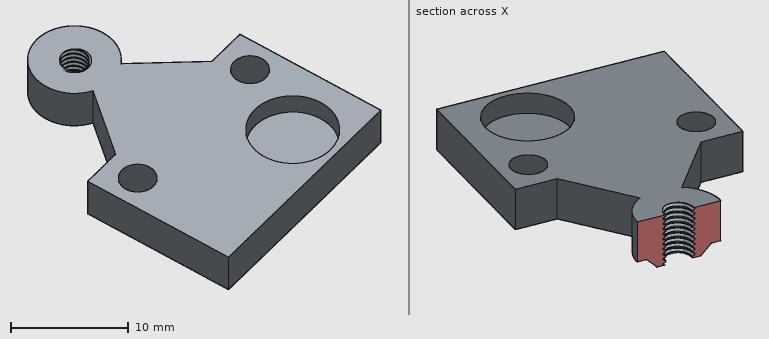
import cadquery as cq
import math

plate_thickness = 4.0
plate_length = 15.0
plate_width = 21.7
pivot_diameter = 8.0
overall_length = 28.5
plate_right = overall_length - pivot_diameter / 2
plate_left = plate_right - plate_length

arm_root_width = 13.7
arm_tip_width = 4.0
arm_tip_x = math.sqrt((pivot_diameter / 2) ** 2 - (arm_tip_width / 2) ** 2)

seat_height = 1.0
seat_top_diameter = 6.2
seat_bottom_diameter = 4.2
part_height = plate_thickness + seat_height

screw_hole_diameter = 3.3
screw_hole_spacing = 16.0
screw_hole_inset = 3.2
screw_hole_x = plate_left + screw_hole_inset

pocket_diameter = 8.0
pocket_depth = 2.0
pocket_inset = 4.65
pocket_x = plate_right - pocket_inset
pocket_y = 4.5

thread_minor_diameter = 2.52
thread_major_diameter = 3.0
thread_pitch = 0.5
thread_root_flat = thread_pitch / 8
thread_mouth_width = thread_pitch * 0.85
thread_overlap = 0.05
thread_runout_turns = 2


def make_plate():
    """Rectangular plate with its top face at Z = 0."""
    return (
        cq.Workplane("XY")
        .center((plate_left + plate_right) / 2, 0)
        .rect(plate_length, plate_width)
        .extrude(-plate_thickness)
    )


def make_arm():
    """Tapered arm running from the pivot axis to the plate."""
    outline = [
        (0, -arm_tip_width / 2),
        (arm_tip_x, -arm_tip_width / 2),
        (plate_left, -arm_root_width / 2),
        (plate_left, arm_root_width / 2),
        (arm_tip_x, arm_tip_width / 2),
        (0, arm_tip_width / 2),
    ]
    return cq.Workplane("XY").polyline(outline).close().extrude(-plate_thickness)


def make_pivot():
    """Round pivot with the conical seat below it."""
    barrel = cq.Workplane("XY").circle(pivot_diameter / 2).extrude(-plate_thickness)
    seat = (
        cq.Workplane("XY", origin=(0, 0, -plate_thickness))
        .circle(seat_top_diameter / 2)
        .workplane(offset=-seat_height)
        .circle(seat_bottom_diameter / 2)
        .loft()
    )
    return barrel.union(seat)


def make_screw_holes():
    """Cutters for the two through holes."""
    half = screw_hole_spacing / 2
    return (
        cq.Workplane("XY")
        .pushPoints([(screw_hole_x, -half), (screw_hole_x, half)])
        .circle(screw_hole_diameter / 2)
        .extrude(-plate_thickness)
    )


def make_pocket():
    """Cutter for the blind pocket in the top face."""
    return cq.Workplane("XY").center(pocket_x, pocket_y).circle(pocket_diameter / 2).extrude(-pocket_depth)


def make_thread_groove():
    """Cutter for the right-hand M3 thread, deepest toward +X at the top face."""
    minor_radius = thread_minor_diameter / 2
    major_radius = thread_major_diameter / 2
    inner_radius = minor_radius - thread_overlap
    runout = thread_runout_turns * thread_pitch
    start_z = -part_height - runout
    helix = cq.Wire.makeHelix(
        thread_pitch,
        part_height + 2 * runout,
        minor_radius,
        center=cq.Vector(0, 0, start_z),
    )
    profile = [
        (inner_radius, start_z - thread_mouth_width / 2),
        (major_radius, start_z - thread_root_flat / 2),
        (major_radius, start_z + thread_root_flat / 2),
        (inner_radius, start_z + thread_mouth_width / 2),
    ]
    groove = cq.Workplane("XZ").polyline(profile).close().sweep(cq.Workplane(helix), isFrenet=True)
    envelope = cq.Workplane("XY").circle(pivot_diameter / 2).extrude(-part_height)
    return groove.intersect(envelope)


def make_bore():
    """Cutter for the bore at the thread's minor diameter."""
    return cq.Workplane("XY").circle(thread_minor_diameter / 2).extrude(-part_height)


result = make_plate().union(make_arm()).union(make_pivot())
result = result.cut(make_screw_holes()).cut(make_pocket()).cut(make_bore()).cut(make_thread_groove())